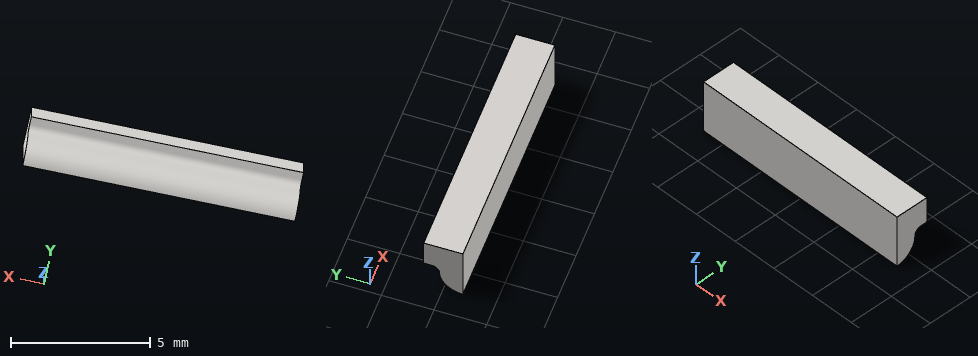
import cadquery as cq

length = 10.0
depth = 1.5
height = 2.4
block_height = 1.2
cove_radius = 0.3
nose_radius = 0.9

block_bottom = height - block_height
cove_start = nose_radius + cove_radius

profile = (
    cq.Workplane("YZ")
    .lineTo(0, height)
    .lineTo(depth, height)
    .lineTo(depth, block_bottom)
    .lineTo(cove_start, block_bottom)
    .radiusArc((nose_radius, block_bottom - cove_radius), -cove_radius)
    .radiusArc((0, 0), nose_radius)
    .close()
)

result = profile.extrude(length)